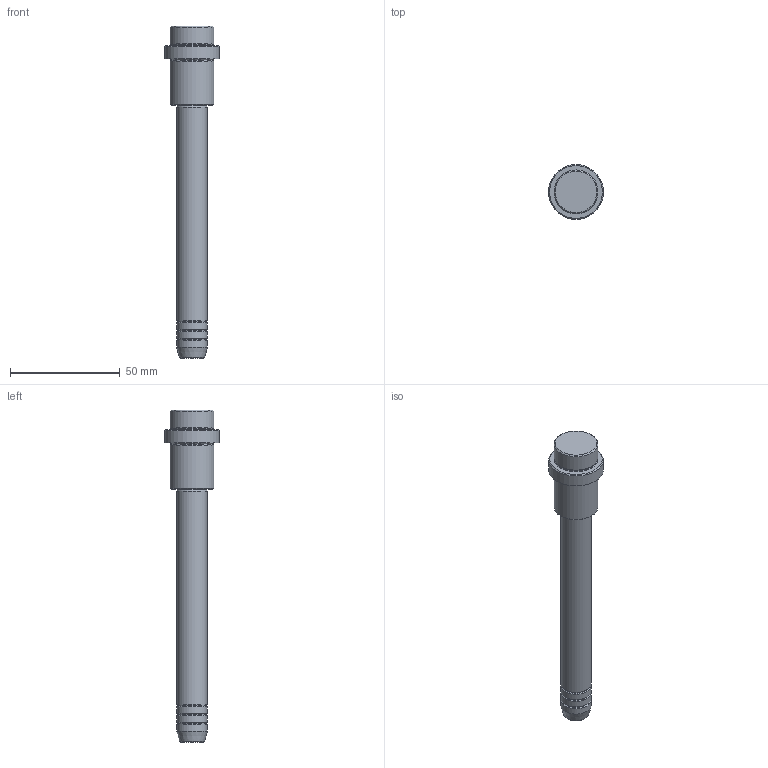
import cadquery as cq
import math

total_length = 151.0

head_length = 36.0
head_radius = 10.0
head_chamfer = 0.5
flange_radius = 12.5
flange_top_depth = 9.0
flange_thickness = 6.0
flange_chamfer = 0.5

groove_width = 1.0
groove_floor_width = 0.3
flange_groove_depth = 0.3
shaft_groove_depth = 0.5
groove_clearance = 0.5

shaft_radius = 7.0
neck_bevel_height = 1.0
neck_bevel_depth = 0.5

tip_length = 5.0
tip_angle = 15.0
tip_edge_radius = 0.6

groove_count = 3
groove_pitch = 4.0
lowest_groove_height = 8.5

base_z = 0.0
top_z = base_z + total_length
head_bottom_z = top_z - head_length
flange_top_z = top_z - flange_top_depth
flange_bottom_z = flange_top_z - flange_thickness


def cylinder(radius, bottom_z, height):
    """Solid cylinder on the Z axis, rising from bottom_z."""
    return cq.Workplane("XY").workplane(offset=bottom_z).circle(radius).extrude(height)


def ring_groove(radius, depth, center_z):
    """Ring with a trapezoid section that narrows inward, cut into a cylinder of the given radius."""
    half_width = groove_width / 2
    half_floor = groove_floor_width / 2
    profile = [
        (radius, center_z - half_width),
        (radius - depth, center_z - half_floor),
        (radius - depth, center_z + half_floor),
        (radius, center_z + half_width),
        (radius + groove_clearance, center_z + half_width),
        (radius + groove_clearance, center_z - half_width),
    ]
    return cq.Workplane("XZ").polyline(profile).close().revolve(360, (0, 0, 0), (0, 1, 0))


def make_head():
    """Sleeve with chamfered ends and a ring groove beside each flange face."""
    head = cylinder(head_radius, head_bottom_z, head_length).faces("<Z or >Z").chamfer(head_chamfer)
    for center_z in (flange_top_z + groove_width / 2, flange_bottom_z - groove_width / 2):
        head = head.cut(ring_groove(head_radius, flange_groove_depth, center_z))
    return head


def make_flange():
    """Flange with a chamfered upper rim."""
    flange = cylinder(flange_radius, flange_bottom_z, flange_thickness)
    return flange.faces(">Z").chamfer(flange_chamfer)


def make_shaft():
    """Turned pin with a tapered, rounded tip and a bevelled neck."""
    tip_radius = shaft_radius - tip_length * math.tan(math.radians(tip_angle))
    neck_radius = shaft_radius - neck_bevel_depth
    profile = [
        (0, base_z),
        (tip_radius, base_z),
        (shaft_radius, base_z + tip_length),
        (shaft_radius, head_bottom_z - neck_bevel_height),
        (neck_radius, head_bottom_z),
        (0, head_bottom_z),
    ]
    shaft = cq.Workplane("XZ").polyline(profile).close().revolve(360, (0, 0, 0), (0, 1, 0))
    return shaft.faces("<Z").edges().fillet(tip_edge_radius)


def cut_shaft_grooves(shaft):
    """Cut the evenly spaced ring grooves above the tip."""
    for index in range(groove_count):
        center_z = base_z + lowest_groove_height + index * groove_pitch
        shaft = shaft.cut(ring_groove(shaft_radius, shaft_groove_depth, center_z))
    return shaft


result = make_head().union(make_flange()).union(cut_shaft_grooves(make_shaft()))